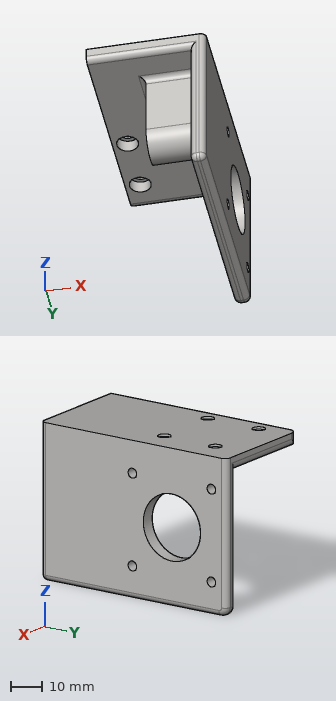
import cadquery as cq

LENGTH_X = 39.0
WIDTH_Y = 73.0
HEIGHT_Z = 53.0
THICKNESS = 5.0
EDGE_RADIUS = 2.0
CORNER_RADIUS = 3.0

MOTOR_Y = 51.5
MOTOR_DEPTH = 26.5
MOTOR_BORE = 22.4
MOTOR_SCREW_PITCH = 31.0
MOTOR_SCREW_DIAMETER = 3.3

BOSS_Y = 19.5
BOSS_WIDTH = 14.0
BOSS_LENGTH = 17.0
BOSS_ROOT_RADIUS = 2.0

PLATE_HOLE_DIAMETER = 4.3
PLATE_HOLE_PITCH_X = 24.0
PLATE_HOLE_PITCH_Y = 20.0
PLATE_HOLE_FIRST_X = 5.0
PLATE_HOLE_FIRST_Y = 41.5

HEAD_DIAMETER = 7.0
HEAD_LIP = 0.8

WALL_INNER_X = LENGTH_X - THICKNESS
PLATE_UNDERSIDE_Z = HEIGHT_Z - THICKNESS
MOTOR_Z = HEIGHT_Z - MOTOR_DEPTH
BOSS_FACE_X = WALL_INNER_X - BOSS_LENGTH


def make_wall():
    """Upright wall with every edge rounded except around its top face."""
    wall = cq.Workplane("XY", origin=(WALL_INNER_X, 0, 0)).box(
        THICKNESS, WIDTH_Y, HEIGHT_Z, centered=False
    )
    wall = wall.edges("|X").edges("<Z").edges(">Y").fillet(CORNER_RADIUS)
    rims = wall.faces("<X or >X").edges("not >Z")
    low_corner = wall.edges("|X").edges("<Z").edges("<Y")
    return rims.add(low_corner).fillet(EDGE_RADIUS)


def make_plate():
    """Top plate, rounded under both long sides and at its free +Y corner.

    It ends inside the wall, where the wall reaches its full width.
    """
    plate = cq.Workplane("XY", origin=(0, 0, PLATE_UNDERSIDE_Z)).box(
        WALL_INNER_X + EDGE_RADIUS, WIDTH_Y, THICKNESS, centered=False
    )
    plate = plate.edges("|X").edges("<Z").edges("<Y").fillet(EDGE_RADIUS)
    plate = plate.edges("|X").edges("<Z").edges(">Y").fillet(CORNER_RADIUS)
    return plate.cut(plate_corner_cutter())


def plate_corner_cutter():
    """Material outside the rounded -X, +Y corner of the plate."""
    square = cq.Workplane("XY").box(CORNER_RADIUS, CORNER_RADIUS, HEIGHT_Z, centered=False)
    round_bar = cq.Workplane("XY").center(CORNER_RADIUS, 0).circle(CORNER_RADIUS).extrude(HEIGHT_Z)
    return square.cut(round_bar).translate((0, WIDTH_Y - CORNER_RADIUS, 0))


def make_boss():
    """Round-ended block hanging from the plate, flared where it meets the underside."""
    half_width = BOSS_WIDTH / 2
    return (
        cq.Workplane("YZ", origin=(BOSS_FACE_X, 0, 0))
        .moveTo(BOSS_Y - half_width, PLATE_UNDERSIDE_Z)
        .lineTo(BOSS_Y - half_width, MOTOR_Z)
        .threePointArc((BOSS_Y, MOTOR_Z - half_width), (BOSS_Y + half_width, MOTOR_Z))
        .lineTo(BOSS_Y + half_width, PLATE_UNDERSIDE_Z)
        .close()
        .extrude(BOSS_LENGTH)
    )


def boss_root_edges(body):
    """The three edges where the boss meets the plate underside."""
    margin = BOSS_ROOT_RADIUS / 2
    half_width = BOSS_WIDTH / 2
    return body.edges(cq.selectors.BoxSelector(
        (BOSS_FACE_X - margin, BOSS_Y - half_width - margin, PLATE_UNDERSIDE_Z - margin),
        (WALL_INNER_X - margin, BOSS_Y + half_width + margin, PLATE_UNDERSIDE_Z + margin)))


def motor_cutter():
    """Motor bore and its four screw holes, along X through the wall."""
    wall = cq.Workplane("YZ", origin=(WALL_INNER_X, MOTOR_Y, MOTOR_Z))
    bore = wall.circle(MOTOR_BORE / 2).extrude(THICKNESS)
    screws = (
        wall.rarray(MOTOR_SCREW_PITCH, MOTOR_SCREW_PITCH, 2, 2)
        .circle(MOTOR_SCREW_DIAMETER / 2)
        .extrude(THICKNESS)
    )
    return bore.union(screws)


def plate_hole_cutter():
    """Four screw holes through the plate, counterbored from its underside."""
    pattern_x = PLATE_HOLE_FIRST_X + PLATE_HOLE_PITCH_X / 2
    pattern_y = PLATE_HOLE_FIRST_Y + PLATE_HOLE_PITCH_Y / 2
    pattern = cq.Workplane("XY", origin=(pattern_x, pattern_y, PLATE_UNDERSIDE_Z)).rarray(
        PLATE_HOLE_PITCH_X, PLATE_HOLE_PITCH_Y, 2, 2
    )
    holes = pattern.circle(PLATE_HOLE_DIAMETER / 2).extrude(THICKNESS)
    recesses = pattern.circle(HEAD_DIAMETER / 2).extrude(THICKNESS - HEAD_LIP)
    return holes.union(recesses)


bracket = make_wall().union(make_plate()).union(make_boss())
bracket = boss_root_edges(bracket).fillet(BOSS_ROOT_RADIUS)
result = bracket.cut(motor_cutter()).cut(plate_hole_cutter())